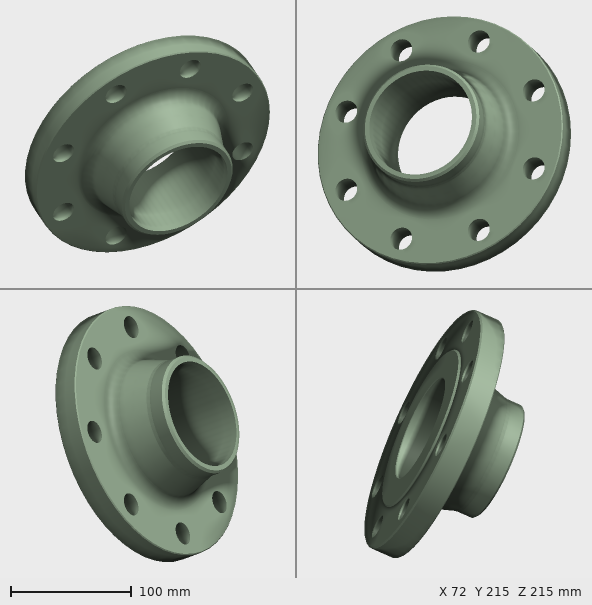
import cadquery as cq
import math

flange_diameter = 215.0
overall_length = 72.0
bore_diameter = 90.0

face_diameter = 142.0
face_height = 2.0
face_chamfer = 1.3
flange_back = 24.0
flange_front_chamfer = 1.3
flange_back_chamfer = 0.9

neck_diameter = 101.7
taper_end = 56.0
taper_angle = 18.0
hub_fillet = 10.3
weld_bevel = 2.0

bolt_count = 8
bolt_hole_diameter = 19.1
bolt_circle_diameter = 177.8
rim_chamfer = 0.6

flange_radius = flange_diameter / 2
face_radius = face_diameter / 2
neck_radius = neck_diameter / 2
hub_base_radius = neck_radius + (taper_end - flange_back) * math.tan(math.radians(taper_angle))


def revolved_body():
    """Solid flange and hub, before the bore and bolt holes are cut."""
    profile = (
        cq.Workplane("XY")
        .moveTo(0, 0)
        .lineTo(0, face_radius - face_chamfer)
        .lineTo(face_chamfer, face_radius)
        .lineTo(face_height, face_radius)
        .lineTo(face_height, flange_radius - flange_front_chamfer)
        .lineTo(face_height + flange_front_chamfer, flange_radius)
        .lineTo(flange_back - flange_back_chamfer, flange_radius)
        .lineTo(flange_back, flange_radius - flange_back_chamfer)
        .lineTo(flange_back, hub_base_radius)
        .lineTo(taper_end, neck_radius)
        .lineTo(overall_length - weld_bevel, neck_radius)
        .lineTo(overall_length, neck_radius - weld_bevel)
        .lineTo(overall_length, 0)
        .close()
    )
    body = profile.revolve(360, (0, 0, 0), (1, 0, 0))
    return body.edges(hub_circles()).fillet(hub_fillet)


def hub_circles():
    """Selector for the circles at both ends of the taper."""
    margin = 0.2
    reach = hub_base_radius + margin
    return cq.selectors.BoxSelector(
        (flange_back - margin, -reach, -reach), (taper_end + margin, reach, reach), boundingbox=True
    )


def chamfered_cutter(diameter, start, length):
    """Cylinder along X that widens into a rim chamfer at its start."""
    radius = diameter / 2
    return (
        cq.Workplane("XY")
        .moveTo(start, 0)
        .lineTo(start, radius + rim_chamfer)
        .lineTo(start + rim_chamfer, radius)
        .lineTo(start + length, radius)
        .lineTo(start + length, 0)
        .close()
        .revolve(360, (0, 0, 0), (1, 0, 0))
    )


result = revolved_body().cut(chamfered_cutter(bore_diameter, 0, overall_length))

bolt_cutter = chamfered_cutter(bolt_hole_diameter, face_height, flange_back - face_height)
bolt_pitch = 360 / bolt_count
for index in range(bolt_count):
    angle = (index + 0.5) * bolt_pitch
    placed = bolt_cutter.translate((0, bolt_circle_diameter / 2, 0))
    result = result.cut(placed.rotate((0, 0, 0), (1, 0, 0), angle))